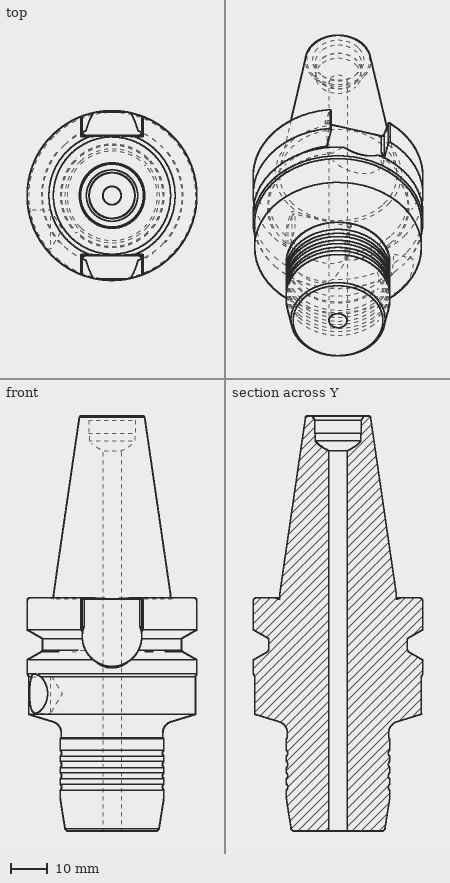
import cadquery as cq
import math


GAUGE_R = 31.75 / 2
TAPER_RATIO = 7 / 24
TAPER_TOP_Z = 48.4
TAPER_TOP_R = GAUGE_R - TAPER_TOP_Z * TAPER_RATIO / 2
TAPER_RIM_CHAMFER = 0.3

FLANGE_R = 23.0
FLANGE_TOP_Z = -0.75
FLANGE_TOP_FILLET = 1.0
RECESS_R = 17.1
RECESS_DEPTH = 0.4
V_ROOT_R = 18.9
V_ROOT_FILLET = 0.5
V_UPPER_Z = -9.5
V_FLANK_ANGLE = math.radians(30)
V_FLANK_HEIGHT = (FLANGE_R - V_ROOT_R) * math.tan(V_FLANK_ANGLE)
V_ROOT_HEIGHT = 3.4
V_ROOT_TOP_Z = V_UPPER_Z - V_FLANK_HEIGHT
V_ROOT_BOTTOM_Z = V_ROOT_TOP_Z - V_ROOT_HEIGHT
V_LOWER_Z = V_ROOT_BOTTOM_Z - V_FLANK_HEIGHT
FLANGE_BOTTOM_Z = -21.45
FLANGE_BOTTOM_CHAMFER_HEIGHT = 0.7

BODY_R = 22.6
BODY_BOTTOM_Z = -32.4
BODY_CONE_ANGLE = math.radians(17)
NECK_R = 13.8
NECK_FILLET = 3.0

NOSE_R = 14.05
NOSE_TOP_Z = -38.7
NOSE_CONE_Z = -55.2
NOSE_END_Z = -64.0
NOSE_END_R = 12.75
NOSE_END_CHAMFER = 0.6

RING_COUNT = 4
RING_PITCH = 3.05
RING_WIDTH = 1.65
RING_DEPTH = 0.35
FIRST_RING_Z = -42.9

BORE_LIP_R = 6.95
BORE_R = 6.25
BORE_LIP_HALF_ANGLE = math.radians(30)
BORE_LIP_DEPTH = (BORE_LIP_R - BORE_R) / math.tan(BORE_LIP_HALF_ANGLE)
BORE_DEPTH = 4.7
PILOT_R = 6.15
PILOT_DEPTH = 6.75
DRILL_R = 4.9
SHOULDER_DEPTH = PILOT_DEPTH + PILOT_R - DRILL_R
DRILL_TIP_HALF_ANGLE = math.radians(59)
COOLANT_R = 2.45

SLOT_R = 8.05
SLOT_FLOOR_Y = 16.3
SLOT_END_CENTER_Z = -11.35
SLOT_EDGE_CHAMFER = 0.42
SLOT_CORNER_CHAMFER = 0.6

SIDE_HOLE_R = 5.3
SIDE_HOLE_Y = -9.1
SIDE_HOLE_Z = -26.75
SIDE_HOLE_SHOULDER_X = -16.7


def fillet_in_corner(wall_r, corner_z, radius, face_angle, side):
    """Start, middle and end of a fillet between a vertical wall and a cone leaving it outwards.

    face_angle is the slope of the cone from horizontal. side is +1 where the wall lies
    below the cone and -1 where it lies above. The start is the tangent point on the wall.
    """
    turn = math.pi / 2 - face_angle
    center_r = wall_r + radius
    start_z = corner_z - side * radius * math.tan(turn / 2)

    def arc_point(angle):
        return (center_r - radius * math.cos(angle), start_z + side * radius * math.sin(angle))

    return arc_point(0), arc_point(turn / 2), arc_point(turn)


def turned_body():
    """Outer shape without ring grooves, bores and slots."""
    neck_corner_z = BODY_BOTTOM_Z - (BODY_R - NECK_R) * math.tan(BODY_CONE_ANGLE)
    neck_start, neck_mid, neck_end = fillet_in_corner(
        NECK_R, neck_corner_z, NECK_FILLET, BODY_CONE_ANGLE, 1
    )
    root_start, root_mid, root_end = fillet_in_corner(
        V_ROOT_R, V_ROOT_BOTTOM_Z, V_ROOT_FILLET, V_FLANK_ANGLE, -1
    )
    top_round_inset = FLANGE_TOP_FILLET * (1 - math.sqrt(0.5))
    rim_z = TAPER_TOP_Z - TAPER_RIM_CHAMFER
    rim_r = TAPER_TOP_R + TAPER_RIM_CHAMFER * TAPER_RATIO / 2
    profile = (
        cq.Workplane("XZ")
        .moveTo(0, TAPER_TOP_Z)
        .lineTo(TAPER_TOP_R - TAPER_RIM_CHAMFER, TAPER_TOP_Z)
        .lineTo(rim_r, rim_z)
        .lineTo(GAUGE_R, 0)
        .lineTo(GAUGE_R, FLANGE_TOP_Z - RECESS_DEPTH)
        .lineTo(RECESS_R, FLANGE_TOP_Z)
        .lineTo(FLANGE_R - FLANGE_TOP_FILLET, FLANGE_TOP_Z)
        .threePointArc(
            (FLANGE_R - top_round_inset, FLANGE_TOP_Z - top_round_inset),
            (FLANGE_R, FLANGE_TOP_Z - FLANGE_TOP_FILLET),
        )
        .lineTo(FLANGE_R, V_UPPER_Z)
        .lineTo(V_ROOT_R, V_ROOT_TOP_Z)
        .lineTo(*root_start)
        .threePointArc(root_mid, root_end)
        .lineTo(FLANGE_R, V_LOWER_Z)
        .lineTo(FLANGE_R, FLANGE_BOTTOM_Z)
        .lineTo(BODY_R, FLANGE_BOTTOM_Z - FLANGE_BOTTOM_CHAMFER_HEIGHT)
        .lineTo(BODY_R, BODY_BOTTOM_Z)
        .lineTo(*neck_end)
        .threePointArc(neck_mid, neck_start)
        .lineTo(NECK_R, NOSE_TOP_Z)
        .lineTo(NOSE_R, NOSE_TOP_Z - (NOSE_R - NECK_R))
        .lineTo(NOSE_R, NOSE_CONE_Z)
        .lineTo(NOSE_END_R, NOSE_END_Z + NOSE_END_CHAMFER)
        .lineTo(NOSE_END_R - NOSE_END_CHAMFER, NOSE_END_Z)
        .lineTo(0, NOSE_END_Z)
        .close()
    )
    return profile.revolve(360, (0, 0, 0), (0, 1, 0))


def ring_groove(z):
    """Cutter for a shallow ring groove of round section, centred at height z."""
    half = RING_WIDTH / 2
    return (
        cq.Workplane("XZ")
        .moveTo(NOSE_R, z + half)
        .threePointArc((NOSE_R - RING_DEPTH, z), (NOSE_R, z - half))
        .lineTo(NOSE_R + RING_DEPTH, z - half)
        .lineTo(NOSE_R + RING_DEPTH, z + half)
        .close()
        .revolve(360, (0, 0, 0), (0, 1, 0))
    )


def bore():
    """Cutter for the stepped bore from the taper end with a coolant passage through to the nose."""
    tip_height = (DRILL_R - COOLANT_R) / math.tan(DRILL_TIP_HALF_ANGLE)
    points = [
        (0, TAPER_TOP_Z),
        (BORE_LIP_R, TAPER_TOP_Z),
        (BORE_R, TAPER_TOP_Z - BORE_LIP_DEPTH),
        (BORE_R, TAPER_TOP_Z - BORE_DEPTH),
        (PILOT_R, TAPER_TOP_Z - BORE_DEPTH),
        (PILOT_R, TAPER_TOP_Z - PILOT_DEPTH),
        (DRILL_R, TAPER_TOP_Z - SHOULDER_DEPTH),
        (COOLANT_R, TAPER_TOP_Z - SHOULDER_DEPTH - tip_height),
        (COOLANT_R, NOSE_END_Z),
        (0, NOSE_END_Z),
    ]
    return cq.Workplane("XZ").polyline(points).close().revolve(360, (0, 0, 0), (0, 1, 0))


def drive_slot():
    """Cutter for the slot on the -Y side, open towards the taper and rounded at its lower end."""
    chamfer_outer_x = SLOT_R + SLOT_EDGE_CHAMFER
    chamfer_outer_y = math.sqrt(FLANGE_R**2 - chamfer_outer_x**2)
    chamfer_start_y = chamfer_outer_y - SLOT_EDGE_CHAMFER
    half_plan = [
        (SLOT_R - SLOT_CORNER_CHAMFER, -SLOT_FLOOR_Y),
        (SLOT_R, -SLOT_FLOOR_Y - SLOT_CORNER_CHAMFER),
        (SLOT_R, -chamfer_start_y),
        (SLOT_R + FLANGE_R - chamfer_start_y, -FLANGE_R),
    ]
    mirrored_plan = [(-x, y) for x, y in reversed(half_plan)]
    straight = (
        cq.Workplane("XY", origin=(0, 0, SLOT_END_CENTER_Z))
        .polyline(half_plan + mirrored_plan)
        .close()
        .extrude(FLANGE_TOP_Z - SLOT_END_CENTER_Z)
    )
    radial_depth = FLANGE_R - SLOT_FLOOR_Y
    round_end = (
        cq.Workplane("XZ", origin=(0, -SLOT_FLOOR_Y, SLOT_END_CENTER_Z))
        .circle(SLOT_R)
        .extrude(radial_depth)
    )
    round_end_chamfer = (
        cq.Workplane("XZ", origin=(0, SLOT_EDGE_CHAMFER - FLANGE_R, SLOT_END_CENTER_Z))
        .circle(SLOT_R)
        .extrude(SLOT_EDGE_CHAMFER, taper=-45)
    )
    top_chamfer = (
        cq.Workplane("XY", origin=(0, 0, FLANGE_TOP_Z - SLOT_EDGE_CHAMFER))
        .center(0, -SLOT_FLOOR_Y - radial_depth / 2)
        .rect(2 * SLOT_R, radial_depth)
        .extrude(SLOT_EDGE_CHAMFER, taper=-45)
    )
    return straight.union(round_end).union(round_end_chamfer).union(top_chamfer)


def side_hole():
    """Cutter for the straight blind hole with a conical drill tip, entering from the -X side."""
    tip_x = SIDE_HOLE_SHOULDER_X + SIDE_HOLE_R / math.tan(DRILL_TIP_HALF_ANGLE)
    points = [
        (-FLANGE_R, 0),
        (-FLANGE_R, SIDE_HOLE_R),
        (SIDE_HOLE_SHOULDER_X, SIDE_HOLE_R),
        (tip_x, 0),
    ]
    hole = cq.Workplane("XY").polyline(points).close().revolve(360, (0, 0, 0), (1, 0, 0))
    return hole.translate((0, SIDE_HOLE_Y, SIDE_HOLE_Z))


holder = turned_body().cut(bore())
for ring in range(RING_COUNT):
    holder = holder.cut(ring_groove(FIRST_RING_Z - ring * RING_PITCH))

slot = drive_slot()
for angle in (0, 180):
    holder = holder.cut(slot.rotate((0, 0, 0), (0, 0, 1), angle))

result = holder.cut(side_hole())